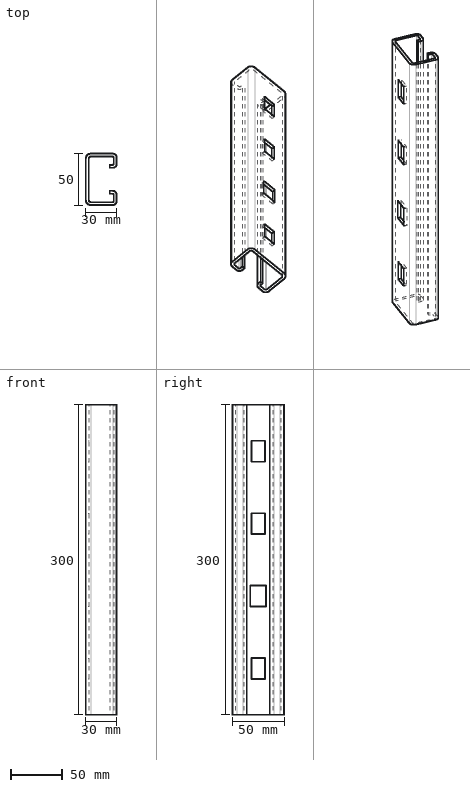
import cadquery as cq

channel_depth = 30.0
channel_width = 50.0
channel_length = 300.0
wall = 3.0
web_bend_radius = 5.0
lip_bend_radius = 4.0

mouth_width = 22.0
lip_length = 7.0

narrow_window = 13.0
wide_window = 15.0
window_widths = [narrow_window, wide_window, narrow_window, narrow_window]
window_height = 20.0
window_pitch = 70.0

half_width = channel_width / 2
half_mouth = mouth_width / 2


def make_half_channel():
    """The +Y half of the channel, bent from a constant-thickness wall."""
    lip_tip = channel_depth - lip_length
    outer_x = channel_depth
    inner_x = channel_depth - wall
    inner_y = half_width - wall
    lip_inner_y = half_mouth + wall
    web_inner_radius = web_bend_radius - wall
    lip_inner_radius = lip_bend_radius - wall
    outline = (
        cq.Workplane("XY")
        .moveTo(0, 0)
        .lineTo(0, half_width - web_bend_radius)
        .radiusArc((web_bend_radius, half_width), web_bend_radius)
        .lineTo(outer_x - lip_bend_radius, half_width)
        .radiusArc((outer_x, half_width - lip_bend_radius), lip_bend_radius)
        .lineTo(outer_x, half_mouth + lip_bend_radius)
        .radiusArc((outer_x - lip_bend_radius, half_mouth), lip_bend_radius)
        .lineTo(lip_tip, half_mouth)
        .lineTo(lip_tip, lip_inner_y)
        .lineTo(inner_x - lip_inner_radius, lip_inner_y)
        .radiusArc((inner_x, lip_inner_y + lip_inner_radius), -lip_inner_radius)
        .lineTo(inner_x, inner_y - lip_inner_radius)
        .radiusArc((inner_x - lip_inner_radius, inner_y), -lip_inner_radius)
        .lineTo(wall + web_inner_radius, inner_y)
        .radiusArc((wall, inner_y - web_inner_radius), -web_inner_radius)
        .lineTo(wall, 0)
        .close()
    )
    return outline.extrude(channel_length / 2, both=True)


def make_channel():
    half_channel = make_half_channel()
    return half_channel.union(half_channel.mirror("XZ")).clean()


def cut_web_windows(channel):
    first_z = -window_pitch * (len(window_widths) - 1) / 2
    for index, window_width in enumerate(window_widths):
        window = (
            cq.Workplane("XY")
            .box(2 * wall, window_width, window_height)
            .translate((wall / 2, 0, first_z + index * window_pitch))
        )
        channel = channel.cut(window)
    return channel


result = cut_web_windows(make_channel())